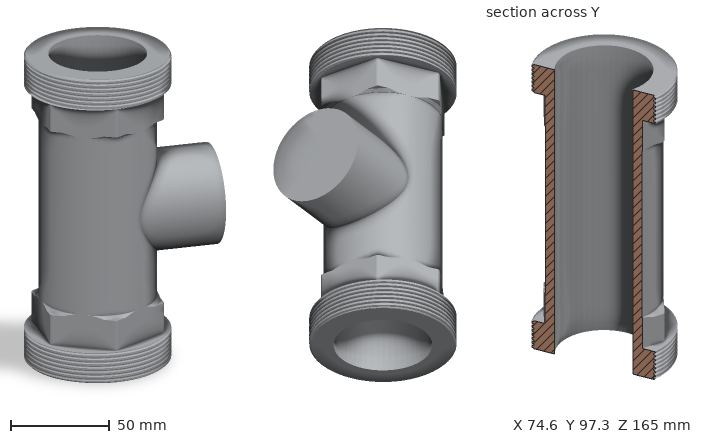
import cadquery as cq
import math

run_length = 165.0
run_diameter = 60.0
bore_diameter = 50.0
branch_diameter = 52.0
branch_reach = 60.0

collar_height = 16.5
crest_radius = 37.3
root_radius = 36.1
thread_pitch = 2.3
crest_width = 1.0
base_width = 2.1
ridge_overlap = 0.5
first_crest_depth = 1.2
end_face_radius = 36.5

spare_turns = 2
trim_clearance = 5.0

hex_height = 17.7
hex_across_flats = run_diameter
hex_corner_diameter = 68.6
hex_step = 1.5
cone_small_radius = 30.4
cone_large_radius = cone_small_radius + hex_step

end_z = run_length / 2
shoulder_z = end_z - collar_height
hex_end_z = shoulder_z - hex_height


def cylinder(radius, bottom_z, height):
    """Solid cylinder on the Z axis."""
    return cq.Workplane("XY").workplane(offset=bottom_z).circle(radius).extrude(height)


def thread_ridge(start_z, turns):
    """Left-handed helical ridge whose lowest crest is at start_z on the +X side."""
    path = cq.Wire.makeHelix(
        thread_pitch,
        turns * thread_pitch,
        root_radius,
        center=cq.Vector(0, 0, start_z),
        lefthand=True,
    )
    inner_radius = root_radius - ridge_overlap
    half_crest = crest_width / 2
    half_base = base_width / 2
    tooth = (
        cq.Workplane("XZ")
        .polyline([
            (inner_radius, start_z - half_base),
            (crest_radius, start_z - half_crest),
            (crest_radius, start_z + half_crest),
            (inner_radius, start_z + half_base),
        ])
        .close()
    )
    return tooth.sweep(cq.Workplane(obj=path), isFrenet=True)


def threaded_collar():
    """Collar whose overlong thread is trimmed to the shoulder and to the chamfered end."""
    turns_in_collar = math.ceil(collar_height / thread_pitch)
    turns = turns_in_collar + 2 * spare_turns
    start_z = end_z - first_crest_depth - (turns_in_collar + spare_turns) * thread_pitch
    margin = 2 * spare_turns * thread_pitch
    core = cylinder(root_radius, shoulder_z - margin, collar_height + 2 * margin)
    trim_radius = crest_radius + trim_clearance
    trim = cylinder(trim_radius, shoulder_z, collar_height)
    trim = trim.faces(">Z").chamfer(trim_radius - end_face_radius)
    return core.union(thread_ridge(start_z, turns)).intersect(trim)


def hex_section():
    """Hexagon with flats facing +Y and -Y, trimmed corners and a stepped, coned inner end."""
    hexagon = (
        cq.Workplane("XY")
        .workplane(offset=hex_end_z)
        .polygon(6, hex_across_flats, circumscribed=True)
        .extrude(hex_height)
        .rotate((0, 0, 0), (0, 0, 1), 30)
    )
    corner_radius = hex_corner_diameter / 2
    step_z = hex_end_z + hex_step
    envelope = (
        cq.Workplane("XZ")
        .polyline([
            (0, hex_end_z),
            (cone_small_radius, hex_end_z),
            (cone_large_radius, step_z),
            (corner_radius, step_z),
            (corner_radius, shoulder_z),
            (0, shoulder_z),
        ])
        .close()
        .revolve(360, (0, 0, 0), (0, 1, 0))
    )
    return hexagon.intersect(envelope)


upper_end = threaded_collar().union(hex_section())
lower_end = upper_end.mirror("XY")

run = cylinder(run_diameter / 2, -shoulder_z, 2 * shoulder_z)
branch = cq.Workplane("XZ").circle(branch_diameter / 2).extrude(-branch_reach)
bore = cylinder(bore_diameter / 2, -end_z, run_length)

result = run.union(branch).union(upper_end).union(lower_end).cut(bore)